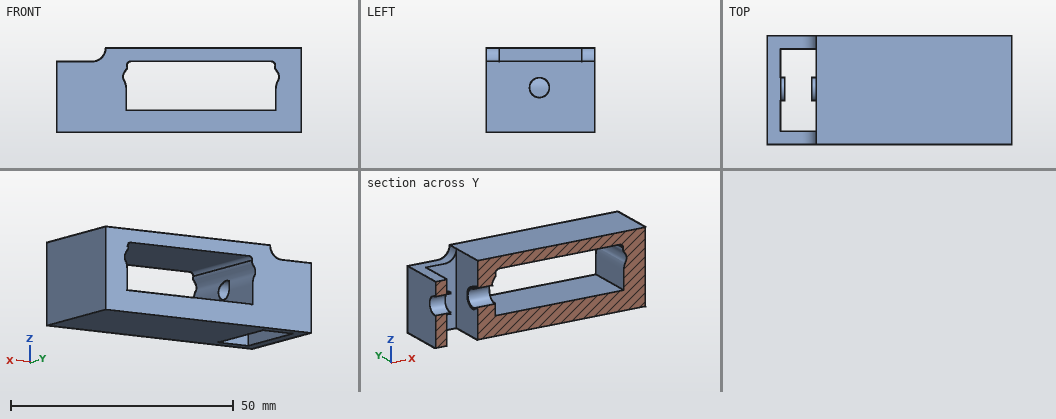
import cadquery as cq

length = 55.0
width = 24.5
height = 19.0
wall = 3.0

step_length = 11.0
shelf_height = height - wall

pin_y = 0.25
pin_z = 10.05
pin_hole_diameter = 4.45
boss_diameter = 5.2
boss_length = 1.0

window_center_x = 32.45
window_half_width = 16.8
window_floor = 5.0
window_top = shelf_height

flare_start = (0, 9.4)
flare_middle = (0.065, 10.45)
lobe_bottom = (0.36, 11.45)
lobe_middle = (0.7, 12.45)
lobe_top = (0.5, 13.35)
neck_bottom = (0, 14.15)
neck_middle = (-0.2, 14.7)
crown_bottom = (-0.1, 15.05)
crown_middle = (-0.35, 15.6)
crown_top = (-1.15, window_top)


def make_block():
    return (
        cq.Workplane("XZ", origin=(0, width / 2, 0))
        .moveTo(0, 0)
        .lineTo(length, 0)
        .lineTo(length, height)
        .lineTo(step_length, height)
        .radiusArc((step_length - wall, shelf_height), wall)
        .lineTo(0, shelf_height)
        .close()
        .extrude(width)
    )


def make_well():
    """Rectangular well through the full height behind the -X wall."""
    return cq.Workplane("XY").box(
        step_length - wall, width - 2 * wall, height, centered=(False, True, False)
    ).translate((wall, 0, 0))


def pin_cylinder(diameter, start_x, cylinder_length):
    return (
        cq.Workplane("YZ", origin=(start_x, pin_y, pin_z))
        .circle(diameter / 2)
        .extrude(cylinder_length)
    )


def make_window():
    def profile_point(point):
        offset, z = point
        return (window_half_width + offset, z)

    half = (
        cq.Workplane("XZ", origin=(0, width / 2, 0))
        .moveTo(0, window_floor)
        .lineTo(window_half_width, window_floor)
        .lineTo(*profile_point(flare_start))
        .threePointArc(profile_point(flare_middle), profile_point(lobe_bottom))
        .threePointArc(profile_point(lobe_middle), profile_point(lobe_top))
        .lineTo(*profile_point(neck_bottom))
        .threePointArc(profile_point(neck_middle), profile_point(crown_bottom))
        .threePointArc(profile_point(crown_middle), profile_point(crown_top))
        .lineTo(0, window_top)
        .close()
        .extrude(width)
    )
    return half.union(half.mirror("YZ")).translate((window_center_x, 0, 0))


result = make_block().cut(make_well())
for boss_start in (wall, step_length - boss_length):
    result = result.union(pin_cylinder(boss_diameter, boss_start, boss_length))

result = result.cut(pin_cylinder(pin_hole_diameter, 0, window_center_x))
result = result.cut(make_window())